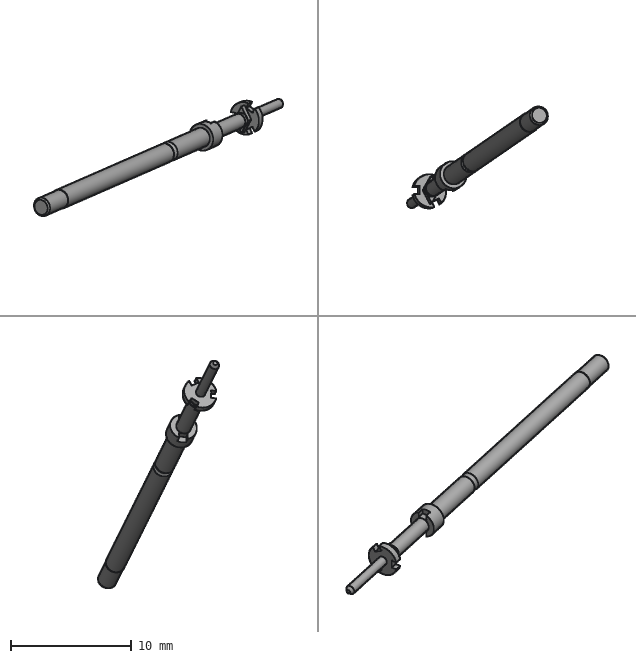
import cadquery as cq


total_length = 38.3
disc_front = 5.2
disc_thickness = 0.6
lug_length = 0.5
neck_length = 0.4
collar_front = 11.2
collar_length = 1.5
groove_front = 17.85
groove_width = 0.55
tail_length = 3.0

rod_radius = 0.4
tip_radius = 0.18
disc_radius = 1.4
neck_radius = 0.61
shaft_radius = 0.63
collar_radius = 1.15
barrel_radius = 0.825
groove_depth = 0.15
tail_radius = 0.79

tip_bevel_length = 0.3
tail_bevel = 0.15

disc_slot_count = 3
disc_slot_width = 0.7
disc_slot_floor = 0.9
first_slot_angle = 60

lug_half_width = 0.65
lug_half_height = 1.16

collar_slot_width = 0.75
collar_slot_length = 0.6

disc_back = disc_front + disc_thickness
lug_back = disc_back + lug_length
neck_back = lug_back + neck_length
collar_back = collar_front + collar_length
groove_back = groove_front + groove_width
tail_front = total_length - tail_length


def station(distance_from_tip):
    """Y coordinate of a station; the part is centred lengthwise on the origin."""
    return total_length / 2 - distance_from_tip


def facing_back(distance_from_tip):
    """Work plane at a station: local x is +X, local y is +Z, extrusion runs toward -Y."""
    return cq.Workplane("XZ", origin=(0, station(distance_from_tip), 0))


def section(front, back, radius):
    """Turned cylinder between two stations."""
    return facing_back(front).circle(radius).extrude(back - front)


def make_rod():
    rod = section(0, disc_front, rod_radius)
    return rod.faces(">Y").chamfer(tip_bevel_length, rod_radius - tip_radius)


def make_slotted_disc():
    disc = section(disc_front, disc_back, disc_radius)
    for index in range(disc_slot_count):
        slot = (
            facing_back(disc_front)
            .transformed(rotate=(0, 0, first_slot_angle + index * 360 / disc_slot_count))
            .center(disc_slot_floor + disc_radius / 2, 0)
            .rect(disc_radius, disc_slot_width)
            .extrude(disc_thickness)
        )
        disc = disc.cut(slot)
    return disc


def make_lug():
    corners = [
        (lug_half_width, 0),
        (0, lug_half_height),
        (-lug_half_width, 0),
        (0, -lug_half_height),
    ]
    return facing_back(disc_back).polyline(corners).close().extrude(lug_length)


def make_collar():
    collar = section(collar_front, collar_back, collar_radius)
    for side in (1, -1):
        slot = (
            facing_back(collar_front)
            .center(0, side * (shaft_radius + collar_radius / 2))
            .rect(collar_slot_width, collar_radius)
            .extrude(collar_slot_length)
        )
        collar = collar.cut(slot)
    return collar


def make_barrel():
    barrel = section(collar_back, tail_front, barrel_radius)
    groove = (
        cq.Workplane("XY")
        .moveTo(barrel_radius, station(groove_front))
        .threePointArc(
            (barrel_radius - groove_depth, station((groove_front + groove_back) / 2)),
            (barrel_radius, station(groove_back)),
        )
        .close()
        .revolve(360, (0, 0, 0), (0, 1, 0))
    )
    tail = section(tail_front, total_length, tail_radius).faces("<Y").chamfer(tail_bevel)
    return barrel.cut(groove).union(tail)


result = (
    make_rod()
    .union(make_slotted_disc())
    .union(make_lug())
    .union(section(lug_back, neck_back, neck_radius))
    .union(section(neck_back, collar_back, shaft_radius))
    .union(make_collar())
    .union(make_barrel())
)